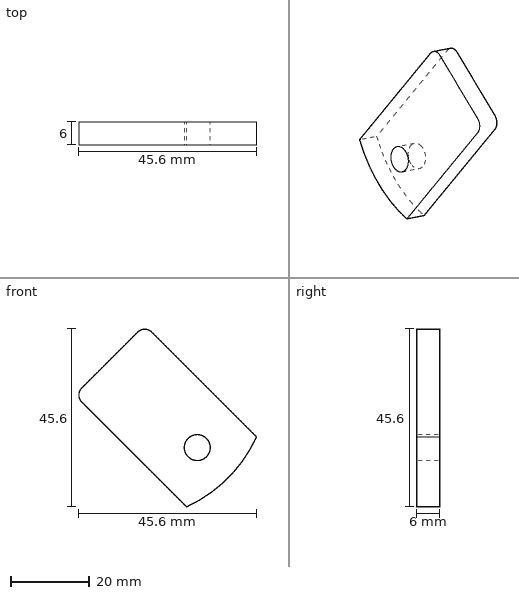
import cadquery as cq
import math

thickness = 6.0
width = 25.4
corner_radius = 2.54
hole_diameter = 6.6
hole_to_flat_end = 31.75
hole_to_arc_centre = 25.4
end_arc_radius = 36.5125
tilt_angle = 45.0

half_width = width / 2
half_thickness = thickness / 2
hole_to_arc_tip = end_arc_radius - hole_to_arc_centre
arc_corner_x = math.sqrt(end_arc_radius**2 - half_width**2) - hole_to_arc_centre


def plate_blank():
    """Flat plate with a square end at -X and a shallow arc end at +X."""
    return (
        cq.Workplane("XZ")
        .moveTo(-hole_to_flat_end, -half_width)
        .lineTo(arc_corner_x, -half_width)
        .threePointArc((hole_to_arc_tip, 0), (arc_corner_x, half_width))
        .lineTo(-hole_to_flat_end, half_width)
        .close()
        .extrude(half_thickness, both=True)
    )


def round_flat_end(plate):
    """Round the two corners of the square end."""
    return plate.faces("<X").edges("|Y").fillet(corner_radius)


def through_hole():
    """Cylinder that cuts the hole near the arc end."""
    return cq.Workplane("XZ").circle(hole_diameter / 2).extrude(half_thickness, both=True)


def tilt(plate):
    """Turn the finished plate about the hole axis."""
    return plate.rotate((0, 0, 0), (0, 1, 0), tilt_angle)


result = tilt(round_flat_end(plate_blank()).cut(through_hole()))